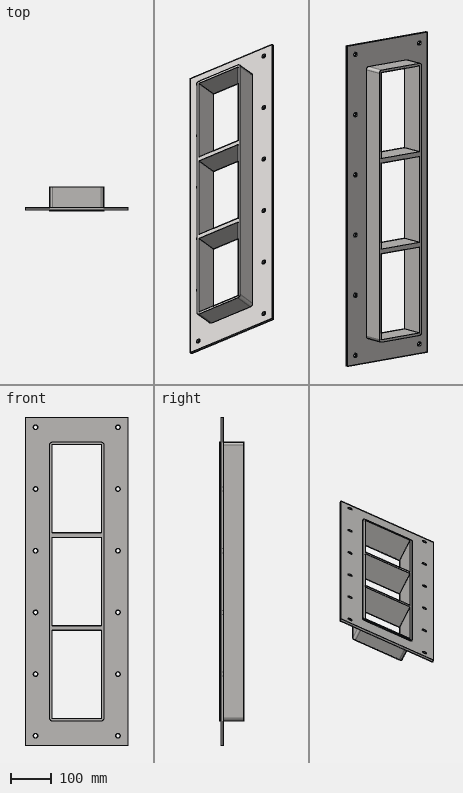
import cadquery as cq

plate_width = 252.0
plate_height = 806.0
plate_thickness = 6.05

window_width = 121.0
window_height = 216.0
window_count = 3
wall = 6.5
divider = 12.0
corner_radius = 7.0
lip = 3.0
rear_depth = 51.0

hole_diameter = 10.5
hole_rows = 6
hole_row_pitch = 151.5
hole_column_spacing = 202.0

window_pitch = window_height + divider
sleeve_width = window_width + 2 * wall
sleeve_height = window_count * window_height + (window_count - 1) * divider + 2 * wall
sleeve_depth = lip + plate_thickness + rear_depth


def front_plane(y):
    """XZ workplane at the given Y; negative extrusions run toward +Y."""
    return cq.Workplane("XZ", origin=(0, y, 0))


def make_plate():
    """Plate with its front face at Y = 0 and two columns of bolt holes."""
    blank = front_plane(0).rect(plate_width, plate_height).extrude(-plate_thickness)
    holes = (
        front_plane(0)
        .rarray(hole_column_spacing, hole_row_pitch, 2, hole_rows)
        .circle(hole_diameter / 2)
        .extrude(-plate_thickness)
    )
    return blank.cut(holes)


def make_sleeve():
    """Solid sleeve block with rounded edges along Y."""
    block = front_plane(-lip).rect(sleeve_width, sleeve_height).extrude(-sleeve_depth)
    return block.edges("|Y").fillet(corner_radius)


def make_windows():
    """Stack of openings running the full depth of the sleeve."""
    return (
        front_plane(-lip)
        .rarray(8, window_pitch, 1, window_count)
        .rect(window_width, window_height)
        .extrude(-sleeve_depth)
    )


result = make_plate().union(make_sleeve()).cut(make_windows())